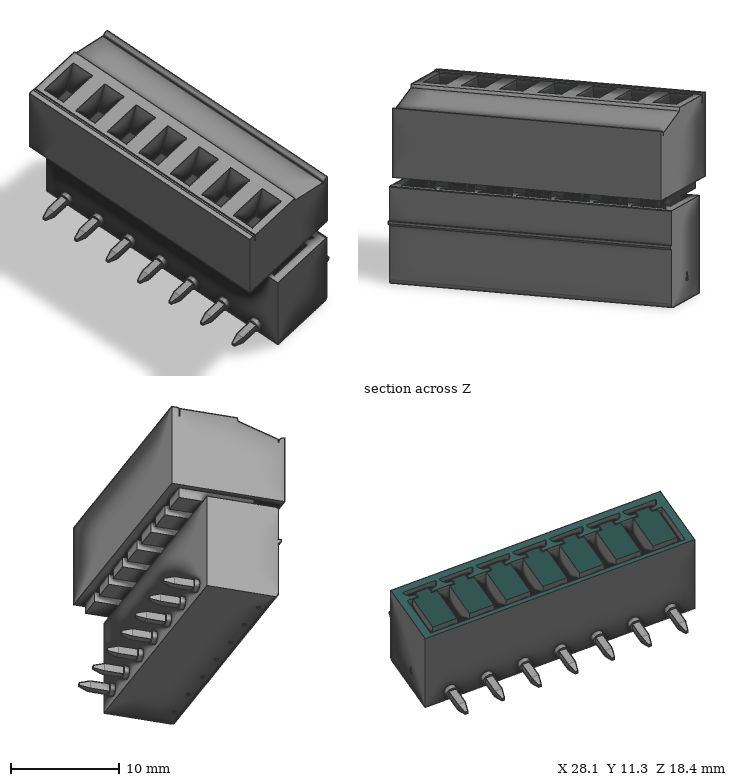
import cadquery as cq

POLE_COUNT = 7
POLE_PITCH = 3.82
POLE_XS = [(i - (POLE_COUNT - 1) / 2) * POLE_PITCH for i in range(POLE_COUNT)]

HEADER_WIDTH = 28.05
HEADER_DEPTH = 7.05
HEADER_HEIGHT = 9.25
BOTTOM_EDGE_RADIUS = 0.42
TOP_BEVEL_DEPTH = 0.15
TOP_BEVEL_HEIGHT = 0.05

SIDE_WALL = 0.8
FRONT_WALL = 0.48
CAVITY_BACK = 5.08
CAVITY_FLOOR = 2.53
LEAD_IN_HEIGHT = 0.42
LEAD_IN_DEPTH = 0.08

KEYWAY_WIDTH = 3.37
KEYWAY_FRONT = 5.55
KEYWAY_BACK = 6.25
KEYWAY_CORNER_RADIUS = 0.67
KEYWAY_NECK_WIDTH = 1.57

RIDGE_TOP = 6.0
RIDGE_PROJECTION = 0.28
RIDGE_TIP_HEIGHT = 0.22
RIDGE_ROOT_HEIGHT = 0.45

FOOT_DIAMETER = 0.36
FOOT_HEIGHT = 0.08
FOOT_Y = 6.0

MARK_Y = 3.0
MARK_BOTTOM = 1.85
MARK_WIDTH = 0.45
MARK_HEIGHT = 0.75
MARK_DEPTH = 0.08

PIN_Z = 1.18
COLLAR_DIAMETER = 1.23
COLLAR_LENGTH = 0.5
PIN_SIZE = 0.75
PIN_TAPER_START = 2.39
PIN_LENGTH = 3.37
PIN_TIP_SIZE = 0.28

PLUG_WIDTH = 26.7
PLUG_FRONT = -3.23
PLUG_BACK = 7.9
PLUG_BOTTOM = 10.35
PLUG_TOP = 18.32

FRONT_LIP_DEPTH = 0.5
TERRACE_Z = 18.25
TERRACE_BACK = 3.23
GROOVE_WIDTH = 0.08
FRONT_GROOVE_Y = -2.5
FRONT_GROOVE_BOTTOM = 17.48
SLOPE_TOP_Y = 3.3
SLOPE_TOP_Z = 17.9
SLOPE_BOTTOM_Z = 16.7
BACK_GROOVE_Y = 7.27
BACK_GROOVE_BOTTOM = 16.45
BACK_LIP_ROOT_Z = 16.5
BACK_LIP_Z = 16.92
BACK_LIP_DEPTH = 0.17

ENTRY_WIDTH = 2.3
ENTRY_FRONT = -1.96
ENTRY_BACK = 2.15
ENTRY_FLOOR_WIDTH = 1.6
ENTRY_FLOOR_FRONT = -1.7
ENTRY_FLOOR_BACK = 0.8
ENTRY_DEPTH = 2.47

LEG_WIDTH = 2.55
LEG_FRONT = 1.0
LEG_BACK = CAVITY_BACK
OVERHANG_FRONT = -2.3
OVERHANG_BOTTOM = 9.35
RIB_WIDTH = 1.4
RIB_BACK = 5.75


def box(x_center, width, y_front, y_back, z_bottom, z_top):
    """Box centred on x_center, given by its limits along Y and Z."""
    size = (width, y_back - y_front, z_top - z_bottom)
    return cq.Workplane("XY").box(*size, centered=(True, False, False)).translate((x_center, y_front, z_bottom))


def along_x(outline, width):
    """Prism across the part, centred on x = 0, from a closed outline in the YZ plane."""
    return outline.extrude(width / 2, both=True)


def make_cavity():
    """Hollow for the legs, with a lead-in chamfer along its back edge."""
    width = HEADER_WIDTH - 2 * SIDE_WALL
    outline = (
        cq.Workplane("YZ")
        .moveTo(FRONT_WALL, CAVITY_FLOOR)
        .lineTo(CAVITY_BACK, CAVITY_FLOOR)
        .lineTo(CAVITY_BACK, HEADER_HEIGHT - LEAD_IN_HEIGHT)
        .lineTo(CAVITY_BACK + LEAD_IN_DEPTH, HEADER_HEIGHT)
        .lineTo(FRONT_WALL, HEADER_HEIGHT)
        .close()
    )
    return along_x(outline, width)


def make_keyway(x):
    """Keyway with rounded front corners, joined to the cavity by its neck."""
    pocket = box(x, KEYWAY_WIDTH, KEYWAY_FRONT, KEYWAY_BACK, CAVITY_FLOOR, HEADER_HEIGHT)
    pocket = pocket.edges("|Z and <Y").fillet(KEYWAY_CORNER_RADIUS)
    neck = box(x, KEYWAY_NECK_WIDTH, CAVITY_BACK, KEYWAY_BACK, CAVITY_FLOOR, HEADER_HEIGHT)
    return pocket.union(neck)


def make_latch_ridge():
    outline = (
        cq.Workplane("YZ")
        .moveTo(HEADER_DEPTH, RIDGE_TOP)
        .lineTo(HEADER_DEPTH + RIDGE_PROJECTION, RIDGE_TOP)
        .lineTo(HEADER_DEPTH + RIDGE_PROJECTION, RIDGE_TOP - RIDGE_TIP_HEIGHT)
        .lineTo(HEADER_DEPTH, RIDGE_TOP - RIDGE_ROOT_HEIGHT)
        .close()
    )
    return along_x(outline, HEADER_WIDTH)


def make_side_mark():
    mark = (
        cq.Workplane("YZ", origin=(-HEADER_WIDTH / 2, MARK_Y, MARK_BOTTOM))
        .moveTo(-MARK_WIDTH / 2, 0)
        .lineTo(MARK_WIDTH / 2, 0)
        .lineTo(0, MARK_HEIGHT)
        .close()
    )
    return mark.extrude(MARK_DEPTH)


def make_solder_pin(x):
    """Round collar and square pin with a tapered tip, pointing to -Y."""
    face = cq.Workplane("XZ", origin=(x, 0, PIN_Z))
    collar = face.circle(COLLAR_DIAMETER / 2).extrude(COLLAR_LENGTH)
    shank = face.rect(PIN_SIZE, PIN_SIZE).extrude(PIN_TAPER_START)
    tip = (
        face.workplane(offset=PIN_TAPER_START)
        .rect(PIN_SIZE, PIN_SIZE)
        .workplane(offset=PIN_LENGTH - PIN_TAPER_START)
        .rect(PIN_TIP_SIZE, PIN_TIP_SIZE)
        .loft()
    )
    return collar.union(shank).union(tip)


def make_foot(x):
    return cq.Workplane("XY", origin=(x, FOOT_Y, 0)).circle(FOOT_DIAMETER / 2).extrude(-FOOT_HEIGHT)


def make_header():
    header = box(0, HEADER_WIDTH, 0, HEADER_DEPTH, 0, HEADER_HEIGHT)
    header = header.edges(">Y and <Z").fillet(BOTTOM_EDGE_RADIUS)
    header = header.edges(">Y and >Z").chamfer(TOP_BEVEL_HEIGHT, TOP_BEVEL_DEPTH)
    header = header.cut(make_cavity()).cut(make_side_mark()).union(make_latch_ridge())
    for x in POLE_XS:
        header = header.cut(make_keyway(x)).union(make_solder_pin(x)).union(make_foot(x))
    return header


def make_plug_body():
    """Profile with a front lip, flat terrace, slope and rounded back lip."""
    back_groove_back = BACK_GROOVE_Y + GROOVE_WIDTH
    outline = (
        cq.Workplane("YZ")
        .moveTo(PLUG_FRONT, PLUG_BOTTOM)
        .lineTo(PLUG_FRONT, PLUG_TOP)
        .lineTo(PLUG_FRONT + FRONT_LIP_DEPTH, PLUG_TOP)
        .lineTo(FRONT_GROOVE_Y, TERRACE_Z)
        .lineTo(FRONT_GROOVE_Y, FRONT_GROOVE_BOTTOM)
        .lineTo(FRONT_GROOVE_Y + GROOVE_WIDTH, FRONT_GROOVE_BOTTOM)
        .lineTo(FRONT_GROOVE_Y + GROOVE_WIDTH, TERRACE_Z)
        .lineTo(TERRACE_BACK, TERRACE_Z)
        .lineTo(SLOPE_TOP_Y, SLOPE_TOP_Z)
        .lineTo(BACK_GROOVE_Y, SLOPE_BOTTOM_Z)
        .lineTo(BACK_GROOVE_Y, BACK_GROOVE_BOTTOM)
        .lineTo(back_groove_back, BACK_GROOVE_BOTTOM)
        .lineTo(back_groove_back, BACK_LIP_ROOT_Z)
        .tangentArcPoint((PLUG_BACK - BACK_LIP_DEPTH, BACK_LIP_Z), relative=False)
        .lineTo(PLUG_BACK, BACK_LIP_Z)
        .lineTo(PLUG_BACK, PLUG_BOTTOM)
        .close()
    )
    return along_x(outline, PLUG_WIDTH)


def make_wire_entry(x):
    """Funnel that narrows from the terrace to its flat floor."""
    mouth_y = (ENTRY_FRONT + ENTRY_BACK) / 2
    floor_y = (ENTRY_FLOOR_FRONT + ENTRY_FLOOR_BACK) / 2
    return (
        cq.Workplane("XY", origin=(x, mouth_y, TERRACE_Z))
        .rect(ENTRY_WIDTH, ENTRY_BACK - ENTRY_FRONT)
        .workplane(offset=-ENTRY_DEPTH)
        .center(0, floor_y - mouth_y)
        .rect(ENTRY_FLOOR_WIDTH, ENTRY_FLOOR_BACK - ENTRY_FLOOR_FRONT)
        .loft()
    )


def make_leg(x):
    """Leg standing on the cavity floor, its overhang above the front wall and its keyed rib."""
    leg = box(x, LEG_WIDTH, LEG_FRONT, LEG_BACK, CAVITY_FLOOR, PLUG_BOTTOM)
    overhang = box(x, LEG_WIDTH, OVERHANG_FRONT, LEG_FRONT, OVERHANG_BOTTOM, PLUG_BOTTOM)
    rib = box(x, RIB_WIDTH, LEG_BACK, RIB_BACK, CAVITY_FLOOR, PLUG_BOTTOM)
    return leg.union(overhang).union(rib)


def make_plug():
    plug = make_plug_body()
    for x in POLE_XS:
        plug = plug.cut(make_wire_entry(x)).union(make_leg(x))
    return plug


header = make_header()
plug = make_plug()

result = cq.Compound.makeCompound([header.val(), plug.val()])